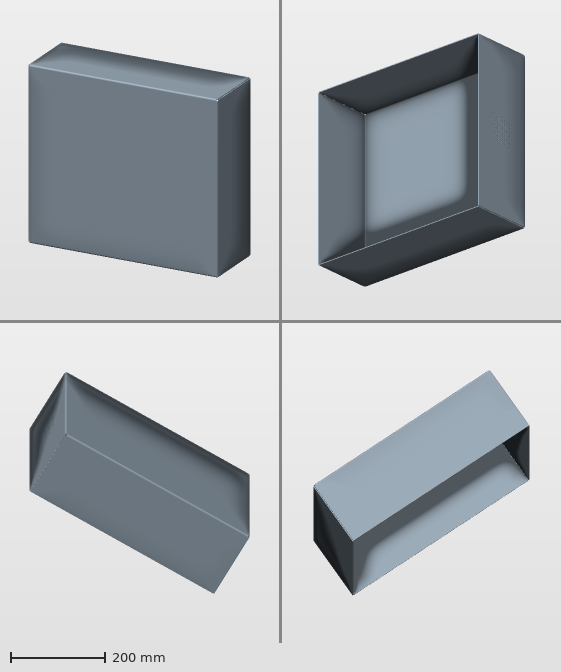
import cadquery as cq

length = 454.0
depth = 150.0
height = 404.0

sheet = 2.0
bend_radius = 2 * sheet
corner_gap = 0.1
wall_setback = sheet + corner_gap

vent_diameter = 2.5
vent_grid_span = 61.0
vents_per_side = 12
vent_pitch = vent_grid_span / (vents_per_side - 1)


def rear_aligned_block(width, block_depth, span):
    """Block standing along Z, centred in X and Z, with its back face on Y = depth / 2."""
    return cq.Workplane("XY").box(width, block_depth, span).translate((0, (depth - block_depth) / 2, 0))


def folded_channel(width, span):
    """U channel along Z: front web, two rounded bends and two side walls running back.

    The web and bends end where the bends of the neighbouring walls begin.
    The flat walls run further, almost to the neighbouring walls.
    """
    web_span = span - 2 * bend_radius
    wall_span = span - 2 * wall_setback

    bent_outside = rear_aligned_block(width, depth, web_span).edges("|Z and <Y").fillet(bend_radius)
    flat_outside = rear_aligned_block(width, depth - bend_radius, wall_span)

    inner_width = width - 2 * sheet
    bent_inside = (
        rear_aligned_block(inner_width, depth - sheet, web_span)
        .edges("|Z and <Y")
        .fillet(bend_radius - sheet)
    )
    flat_inside = rear_aligned_block(inner_width, depth - bend_radius, wall_span)

    bent_part = bent_outside.cut(bent_inside)
    flat_walls = flat_outside.cut(flat_inside)
    return bent_part.union(flat_walls)


side_walls = folded_channel(length, height)
top_and_bottom_walls = folded_channel(height, length).rotate((0, 0, 0), (0, 1, 0), 90)
cover = side_walls.union(top_and_bottom_walls)

vents = (
    cq.Workplane("YZ", origin=(-length / 2, 0, 0))
    .rarray(vent_pitch, vent_pitch, vents_per_side, vents_per_side)
    .circle(vent_diameter / 2)
    .extrude(sheet)
)

result = cover.cut(vents)